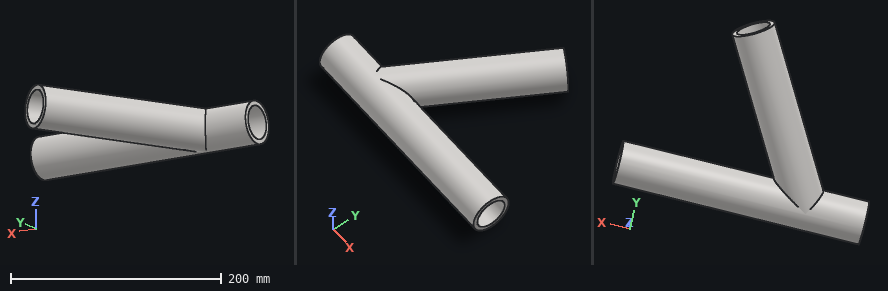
import cadquery as cq
import math

run_length = 241.3
outer_diameter = 42.2
bore_diameter = 32.5

branch_angle = 60.0
branch_length = 184.0
branch_position = 57.2

branch_direction = cq.Vector(
    math.cos(math.radians(branch_angle)),
    math.sin(math.radians(branch_angle)),
    0,
)
run_start = cq.Vector(0, 0, 0)
run_direction = cq.Vector(1, 0, 0)
branch_start = cq.Vector(branch_position, 0, 0)


def wye(diameter):
    """Solid run and branch of one diameter, joined where their axes cross."""
    radius = diameter / 2
    run = cq.Solid.makeCylinder(radius, run_length, run_start, run_direction)
    branch = cq.Solid.makeCylinder(radius, branch_length, branch_start, branch_direction)
    return cq.Workplane(run).union(cq.Workplane(branch))


result = wye(outer_diameter).cut(wye(bore_diameter))